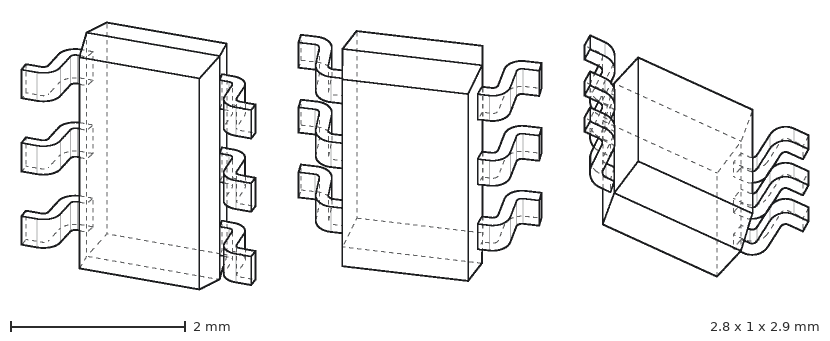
import cadquery as cq
import math

body_width = 1.625
body_length = 2.9
half_depth = 0.45
draft_angle = 10.0

lead_span = 2.8
lead_thickness = 0.145
lead_width = 0.37
lead_pitch = 0.95
leads_per_side = 3
standoff = 0.102
riser_offset = 1.067
riser_lean = 3.0
inner_bend_radius = 0.065
outer_bend_radius = inner_bend_radius + lead_thickness

toe_x = lead_span / 2
sole_y = -(half_depth + standoff)
foot_top_y = sole_y + lead_thickness
shoulder_y = lead_thickness


def make_body_half(direction):
    """Drafted half of the body, growing from Y = 0 along direction (+1 or -1)."""
    parting_plane = cq.Plane(origin=(0, 0, 0), xDir=(1, 0, 0), normal=(0, direction, 0))
    return (
        cq.Workplane(parting_plane)
        .rect(body_width, body_length)
        .extrude(half_depth, taper=draft_angle)
    )


def riser_x(y, side):
    """X of the riser face at depth y: side +1 is the toe face, -1 the body face."""
    lean = math.radians(riser_lean)
    middle_y = (sole_y + shoulder_y) / 2
    half_riser_width = lead_thickness / 2 / math.cos(lean)
    return riser_offset + side * half_riser_width - (y - middle_y) * math.tan(lean)


def round_corners(lead, corners, radius):
    """Fillet the edges along Z that pass through the given (x, y) corners."""
    for x, y in corners:
        corner_edge = cq.selectors.NearestToPointSelector((x, y, 0))
        lead = lead.edges("|Z").edges(corner_edge).fillet(radius)
    return lead


def make_lead():
    """Lead on the +X side, centred on Z = 0, before its shoulder is trimmed to the body."""
    inner_bends = [(riser_x(0, -1), 0), (riser_x(foot_top_y, 1), foot_top_y)]
    outer_bends = [(riser_x(shoulder_y, 1), shoulder_y), (riser_x(sole_y, -1), sole_y)]
    outline = [
        (0, 0),
        inner_bends[0],
        outer_bends[1],
        (toe_x, sole_y),
        (toe_x, foot_top_y),
        inner_bends[1],
        outer_bends[0],
        (0, shoulder_y),
    ]
    lead = cq.Workplane("XY").polyline(outline).close().extrude(lead_width / 2, both=True)
    lead = round_corners(lead, inner_bends, inner_bend_radius)
    lead = round_corners(lead, outer_bends, outer_bend_radius)
    return lead


front_half = make_body_half(-1)
back_half = make_body_half(1)

right_lead = make_lead().cut(back_half).solids()
left_lead = right_lead.mirror("YZ").solids()

leads = []
for row in range(leads_per_side):
    row_z = (row - (leads_per_side - 1) / 2) * lead_pitch
    for lead in (left_lead, right_lead):
        leads.append(lead.val().translate(cq.Vector(0, 0, row_z)))

result = cq.Compound.makeCompound([front_half.val(), back_half.val(), *leads])